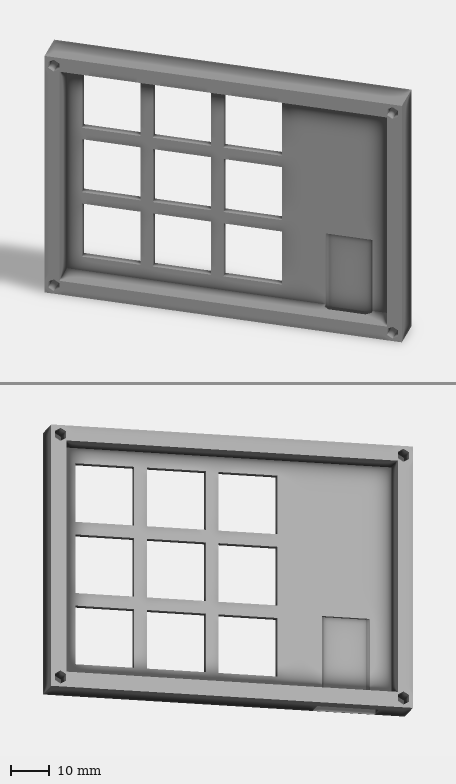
import cadquery as cq

width = 96.1
depth = 9.0
height = 69.9
wall = 4.0
floor_thickness = 2.0
floor_face = depth - floor_thickness

window_count = 3
window_size = 15.7
window_pitch = 19.0
window_margin = 4.0

screw_diameter = 3.5
screw_inset = 2.5
screw_depth = 5.8

slot_left = 73.6
slot_width = 12.6
slot_top = 25.0
slot_sink = 1.1
slot_rise = 2.3
back_chamfer_width = 0.7
back_chamfer_depth = 0.5
front_chamfer = 1.25

socket_height = 3.0
socket_margin_x = 2.0
socket_margin_y = 0.8


def box(x, y, z, size_x, size_y, size_z):
    """A box placed by its lowest corner."""
    return cq.Workplane("XY").box(size_x, size_y, size_z, centered=False).translate((x, y, z))


def tray():
    cavity = box(wall, 0, wall, width - 2 * wall, floor_face, height - 2 * wall)
    return box(0, 0, 0, width, depth, height).cut(cavity)


def cut_windows(body):
    first_x = wall + window_margin
    first_z = height - wall - window_margin - window_size
    for column in range(window_count):
        for row in range(window_count):
            x = first_x + column * window_pitch
            z = first_z - row * window_pitch
            body = body.cut(box(x, floor_face, z, window_size, floor_thickness, window_size))
    return body


def cut_screw_holes(body):
    for x in (screw_inset, width - screw_inset):
        for z in (screw_inset, height - screw_inset):
            hole = (
                cq.Workplane("XZ", origin=(x, 0, z))
                .transformed(rotate=(0, 0, 90))
                .polygon(6, screw_diameter)
                .extrude(-screw_depth)
            )
            body = body.cut(hole)
    return body


def cut_cable_slot(body):
    right = slot_left + slot_width
    front = floor_face - slot_rise
    back = floor_face + slot_sink
    slot = (
        cq.Workplane("XY")
        .moveTo(slot_left + front_chamfer, front)
        .lineTo(right - front_chamfer, front)
        .lineTo(right, front + front_chamfer)
        .lineTo(right, back - back_chamfer_depth)
        .lineTo(right - back_chamfer_width, back)
        .lineTo(slot_left + back_chamfer_width, back)
        .lineTo(slot_left, back - back_chamfer_depth)
        .lineTo(slot_left, front + front_chamfer)
        .close()
        .extrude(slot_top)
    )
    socket = box(
        slot_left - socket_margin_x,
        front - socket_margin_y,
        0,
        slot_width + 2 * socket_margin_x,
        back - front + 2 * socket_margin_y,
        socket_height,
    )
    return body.cut(slot).cut(socket)


result = cut_cable_slot(cut_screw_holes(cut_windows(tray())))